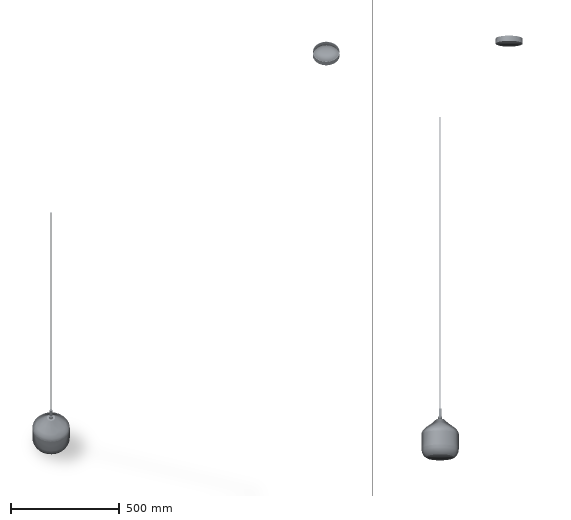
import cadquery as cq

total_height = 1630.0
total_depth = 1744.0

canopy_diameter = 124.0
canopy_height = 25.0
canopy_wall = 2.0

shade_diameter = 173.0
base_radius = 65.0
lower_edge = (80.0, 15.0)
wall_bottom_z = 42.0
wall_top_z = 108.0
shoulder = (82.0, 122.0)
cone_base = (68.0, 138.0)
cone_middle = (42.0, 157.0)
shade_top_radius = 20.0
shade_height = 178.0

collar_diameter = 20.0
collar_height = 14.0
sleeve_diameter = 12.0
sleeve_height = 38.0
cord_diameter = 5.0

shade_radius = shade_diameter / 2
canopy_radius = canopy_diameter / 2
canopy_y = total_depth - shade_radius - canopy_radius
canopy_bottom_z = total_height - canopy_height
collar_top_z = shade_height + collar_height
sleeve_top_z = collar_top_z + sleeve_height


def cylinder(diameter, bottom_z, top_z, y=0):
    """Upright cylinder between two heights, centred on X = 0."""
    return (
        cq.Workplane("XY", origin=(0, y, bottom_z))
        .circle(diameter / 2)
        .extrude(top_z - bottom_z)
    )


def make_shade():
    """Turned shade: rounded lower edge, straight wall, and a shoulder running into a cone."""
    upward = (0, 1)
    toward_top = (shade_top_radius - cone_middle[0], shade_height - cone_middle[1])
    outward = (2, 1)
    shoulder_points = [shoulder, cone_base, cone_middle, (shade_top_radius, shade_height)]
    return (
        cq.Workplane("XZ")
        .lineTo(base_radius, 0)
        .spline([lower_edge, (shade_radius, wall_bottom_z)], tangents=[outward, upward], includeCurrent=True)
        .lineTo(shade_radius, wall_top_z)
        .spline(shoulder_points, tangents=[upward, toward_top], includeCurrent=True)
        .lineTo(0, shade_height)
        .close()
        .revolve(360, (0, 0, 0), (0, 1, 0))
    )


def make_pendant():
    """Shade with its collar, cord sleeve and cord, ending level with the underside of the canopy."""
    collar = cylinder(collar_diameter, shade_height, collar_top_z)
    sleeve = cylinder(sleeve_diameter, collar_top_z, sleeve_top_z)
    cord = cylinder(cord_diameter, sleeve_top_z, canopy_bottom_z)
    return make_shade().union(collar).union(sleeve).union(cord)


def make_canopy():
    """Thin round cup set apart from the pendant along +Y."""
    outside = cylinder(canopy_diameter, canopy_bottom_z, total_height, canopy_y)
    inner_diameter = canopy_diameter - 2 * canopy_wall
    floor_z = canopy_bottom_z + canopy_wall
    hollow = cylinder(inner_diameter, floor_z, total_height, canopy_y)
    return outside.cut(hollow)


pendant = make_pendant()
canopy = make_canopy()

result = cq.Compound.makeCompound([pendant.val(), canopy.val()])